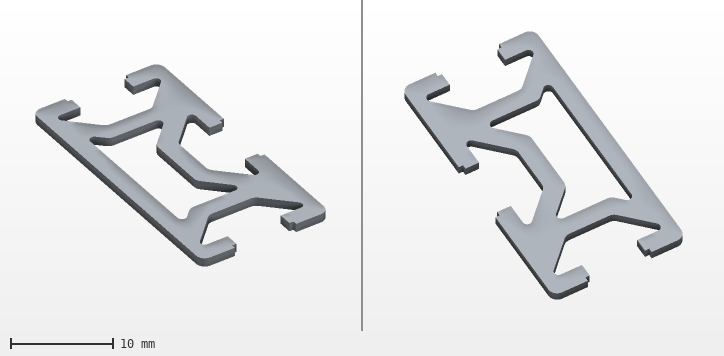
import cadquery as cq

length = 30.0
width = 15.0
thickness = 1.0
corner_radius = 1.0

mouth_half = 3.12
step_size = 0.48
lip_thickness = 2.0
slot_depth = 6.0
flank_sum = 8.67
tip_radius = 0.48
slot_bend_radius = 1.0

wall = 2.0
side_wall = 1.98
cavity_flank_sum = 11.55
cavity_tip_radius = 0.5
cavity_bend_radius = 1.0


def round_corners(solid, points, radius):
    """Fillet the vertical edges passing through the given XY points."""
    for x, y in points:
        edge = cq.selectors.NearestToPointSelector((x, y, thickness / 2))
        solid = solid.edges("|Z").edges(edge).fillet(radius)
    return solid


def mirror_pair(x, y):
    return [(-x, y), (x, y)]


def slot_cutter():
    """Slot opening towards +Y, with its mouth on the X axis."""
    step_half = mouth_half + step_size
    tip_half = flank_sum - lip_thickness
    floor_half = flank_sum - slot_depth
    right_side = [
        (step_half, 0),
        (step_half, -step_size),
        (mouth_half, -step_size),
        (mouth_half, -lip_thickness),
        (tip_half, -lip_thickness),
        (floor_half, -slot_depth),
    ]
    left_side = [(-x, y) for x, y in reversed(right_side)]
    cutter = cq.Workplane("XY").polyline(right_side + left_side).close().extrude(thickness)
    cutter = round_corners(cutter, mirror_pair(tip_half, -lip_thickness), tip_radius)
    return round_corners(cutter, mirror_pair(floor_half, -slot_depth), slot_bend_radius)


def cavity_cutter():
    """Closed cavity bounded by the slot walls and the bottom wall."""
    top_depth = slot_depth + wall
    side_depth = slot_depth + side_wall
    side_x = length / 2 - side_depth
    top_y = width / 2 - top_depth
    bottom_y = wall - width / 2
    top_bend = (cavity_flank_sum - top_depth, top_y)
    upper_tip = (side_x, width / 2 - (cavity_flank_sum - side_x))
    side_bend = (side_x, side_depth - cavity_flank_sum)
    lower_tip = (length / 2 - (cavity_flank_sum + bottom_y), bottom_y)

    right_side = [top_bend, upper_tip, side_bend, lower_tip]
    left_side = [(-x, y) for x, y in reversed(right_side)]
    cutter = cq.Workplane("XY").polyline(right_side + left_side).close().extrude(thickness)
    for tip in (upper_tip, lower_tip):
        cutter = round_corners(cutter, mirror_pair(*tip), cavity_tip_radius)
    for bend in (top_bend, side_bend):
        cutter = round_corners(cutter, mirror_pair(*bend), cavity_bend_radius)
    return cutter


plate = cq.Workplane("XY").box(length, width, thickness, centered=(True, True, False))
plate = plate.edges("|Z").fillet(corner_radius)

for turn, face_distance in ((0, width / 2), (90, length / 2), (-90, length / 2)):
    cutter = slot_cutter().translate((0, face_distance, 0))
    plate = plate.cut(cutter.rotate((0, 0, 0), (0, 0, 1), turn))

result = plate.cut(cavity_cutter())